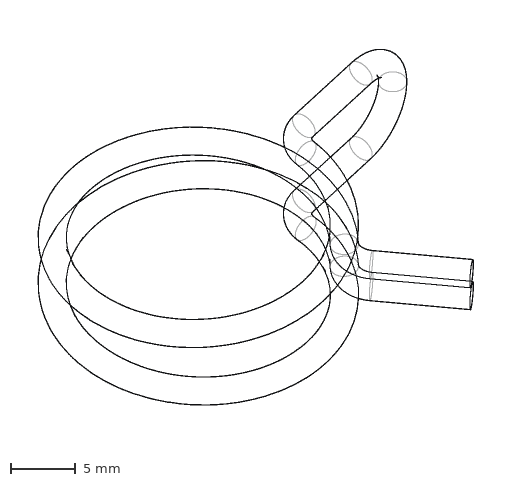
import cadquery as cq
import math


wire_diameter = 2.2
wire_radius = wire_diameter / 2
coil_radius = 11.25
clamp_height = 10.3
grip_height = clamp_height / 2 - wire_radius
tail_height = 1.2

leg_lean = math.radians(30)
bend_radius = 2.37
join_offset = math.radians(20)
tail_length = 7.8
grip_reach = 11.3
grip_straight = grip_reach - grip_height

coil_sweep = 2 * math.pi + 2 * join_offset
coil_rise = grip_height - tail_height
coil_pitch = coil_rise * 2 * math.pi / coil_sweep


def polar(radius, angle):
    """Point (x, y) at a clockwise angle from +Y."""
    return (radius * math.sin(angle), radius * math.cos(angle))


def leg_points(side):
    """Bend end on the coil, bend middle and bend end on the leg; side is +1 for +X, -1 for -X."""
    centre_x, centre_y = polar(coil_radius + bend_radius, join_offset)
    join_direction = math.pi + join_offset
    leg_direction = math.pi / 2 + leg_lean
    middle_direction = (join_direction + leg_direction) / 2
    points = []
    for direction in (join_direction, middle_direction, leg_direction):
        dx, dy = polar(bend_radius, direction)
        points.append((side * (centre_x + dx), centre_y + dy))
    return points


def along_leg(side, distance):
    """Point at a distance from the bend, on the straight leg."""
    start_x, start_y = leg_points(side)[2]
    dx, dy = polar(distance, leg_lean)
    return (start_x + side * dx, start_y + dy)


def at_height(points, height):
    """Lift points (x, y) to a height."""
    return [cq.Vector(x, y, height) for x, y in points]


def tail_edges():
    """Straight tail and the bend that leads it into the coil."""
    tip, = at_height([along_leg(1, tail_length)], tail_height)
    join, middle, leg = at_height(leg_points(1), tail_height)
    return [cq.Edge.makeLine(tip, leg), cq.Edge.makeThreePointArc(leg, middle, join)]


def coil_edges():
    """Helix from the tail join up to the grip join."""
    helix = cq.Wire.makeHelix(coil_pitch, coil_rise, coil_radius)
    start_angle = 90 - math.degrees(join_offset)
    helix = helix.rotate(cq.Vector(), cq.Vector(0, 0, 1), start_angle)
    return helix.translate(cq.Vector(0, 0, tail_height)).Edges()


def grip_edges():
    """Bend, straight leg and the upper quarter of the U, ending on the mirror plane."""
    join, middle, leg = at_height(leg_points(-1), grip_height)
    straight_end, = at_height([along_leg(-1, grip_straight)], grip_height)
    diagonal = math.sqrt(0.5) * grip_height
    arc_middle, = at_height([along_leg(-1, grip_straight + diagonal)], diagonal)
    apex, = at_height([along_leg(-1, grip_reach)], 0)
    return [
        cq.Edge.makeThreePointArc(join, middle, leg),
        cq.Edge.makeLine(leg, straight_end),
        cq.Edge.makeThreePointArc(straight_end, arc_middle, apex),
    ]


def upper_half():
    """Wire swept from the tail tip to the middle of the U."""
    path = cq.Wire.assembleEdges(tail_edges() + coil_edges() + grip_edges())
    leg_axis = (*polar(1, leg_lean), 0)
    tail_end = cq.Plane((*along_leg(1, tail_length), tail_height), (0, 0, 1), leg_axis)
    return cq.Workplane(tail_end).circle(wire_radius).sweep(path, transition="transformed", isFrenet=True)


upper = upper_half()
result = upper.union(upper.mirror("XY"))